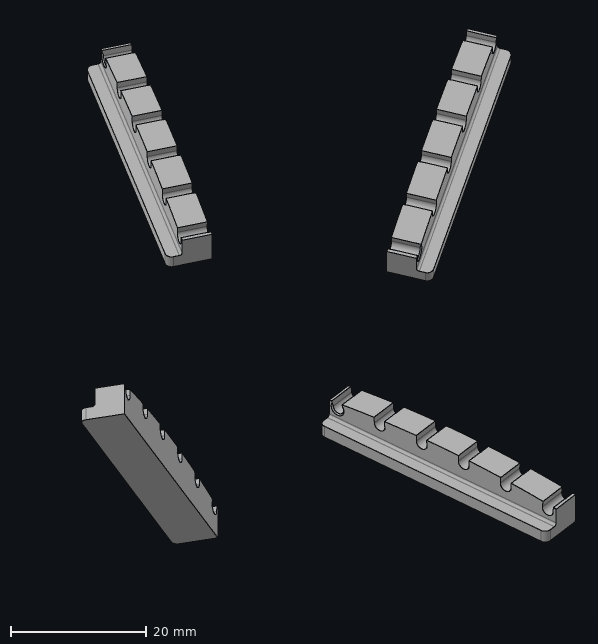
import cadquery as cq
import math

length = 43.0
depth = 7.0
height = 6.3
wall_depth = 4.65
shelf_height = 2.05
root_fillet = 0.45
corner_radius = 1.0
crown_radius = 184.15

slot_count = 6
slot_pitch = 8.0
slot_radius = 1.0
slot_depth = 2.0
slot_overrun = 2.15

flare_size = 0.2

shelf_depth = depth - wall_depth
crown_center_z = height - crown_radius


def crown_height(x):
    return crown_center_z + math.sqrt(crown_radius**2 - x**2)


def make_body():
    half = length / 2
    end_height = crown_height(half)
    wall = (
        cq.Workplane("XZ", origin=(0, depth, 0))
        .moveTo(-half, 0)
        .lineTo(half, 0)
        .lineTo(half, end_height)
        .threePointArc((0, height), (-half, end_height))
        .close()
        .extrude(wall_depth)
    )
    shelf = (
        cq.Workplane("XY")
        .box(length, depth, shelf_height, centered=(True, False, False))
        .edges("|Z and <Y")
        .fillet(corner_radius)
    )
    root_edge = cq.selectors.NearestToPointSelector((0, shelf_depth, shelf_height))
    return wall.union(shelf).edges(root_edge).fillet(root_fillet)


def place_radially(tool, x):
    """Move a tool from the crown's top point to x, keeping it square to the crown."""
    tilt = math.degrees(math.asin(x / crown_radius))
    pivot = (0, 0, crown_center_z)
    return tool.rotate(pivot, (0, 1, crown_center_z), tilt)


slot_center_z = height - slot_depth + slot_radius


def make_slot():
    floor = (
        cq.Workplane("XZ", origin=(0, depth, slot_center_z))
        .circle(slot_radius)
        .extrude(wall_depth)
    )
    opening = (
        cq.Workplane("XY", origin=(0, shelf_depth, slot_center_z))
        .box(2 * slot_radius, wall_depth, slot_overrun, centered=(True, False, False))
    )
    return floor.union(opening)


def make_flare():
    """Cone around the slot floor, widest at the front face of the wall."""
    return cq.Workplane(
        cq.Solid.makeCone(
            slot_radius + flare_size,
            slot_radius,
            flare_size,
            pnt=cq.Vector(0, shelf_depth, slot_center_z),
            dir=cq.Vector(0, 1, 0),
        )
    )


first_slot_x = -slot_pitch * (slot_count - 1) / 2

result = make_body()
for index in range(slot_count):
    result = result.cut(place_radially(make_slot(), first_slot_x + index * slot_pitch))
result = result.cut(place_radially(make_flare(), first_slot_x))